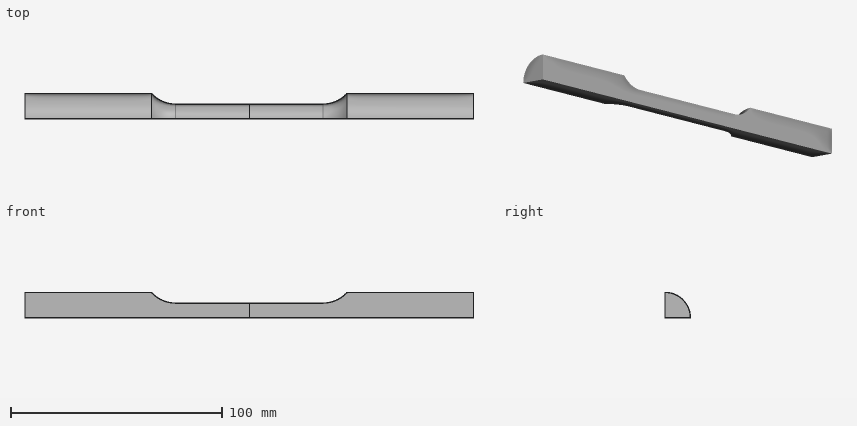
import cadquery as cq
import math

bar_length = 212.4
grip_radius = 12.0
neck_radius = 7.0
neck_length = 69.7
shoulder_radius = 15.5
section_angle = 90.0

half_length = bar_length / 2
half_neck = neck_length / 2
shoulder_center_radius = neck_radius + shoulder_radius


def shoulder_offset(radius):
    """Distance along the bar from the neck end to where the shoulder arc has this radius."""
    return math.sqrt(shoulder_radius**2 - (shoulder_center_radius - radius) ** 2)


def half_bar(side):
    """Quarter-round half of the bar, on the +X side (side = 1) or the -X side (side = -1)."""
    shoulder_end = half_neck + shoulder_offset(grip_radius)
    arc_mid_radius = (neck_radius + grip_radius) / 2
    arc_mid = half_neck + shoulder_offset(arc_mid_radius)
    profile = (
        cq.Workplane("XY")
        .moveTo(0, 0)
        .lineTo(0, neck_radius)
        .lineTo(side * half_neck, neck_radius)
        .threePointArc((side * arc_mid, arc_mid_radius), (side * shoulder_end, grip_radius))
        .lineTo(side * half_length, grip_radius)
        .lineTo(side * half_length, 0)
        .close()
    )
    return profile.revolve(section_angle, (0, 0, 0), (1, 0, 0))


half_bars = [half_bar(side) for side in (-1, 1)]

result = cq.Compound.makeCompound([half.val() for half in half_bars])